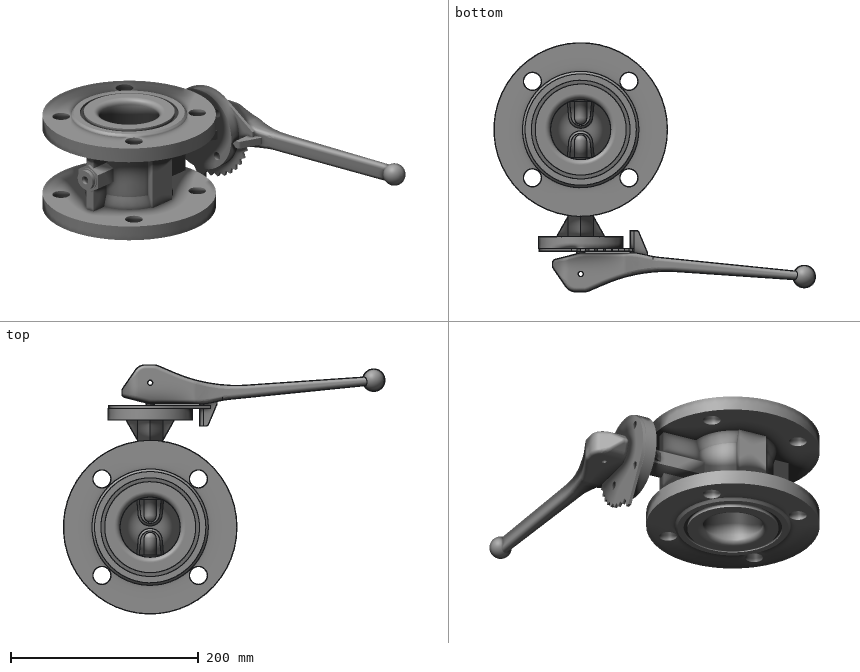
import cadquery as cq
import math


flange_radius = 92.5
flange_inner_z = 37.15
flange_outer_z = 53.0
bolt_hole_diameter = 19.0
bolt_offset = 51.5
face_base_radius = 62.0
face_radius = 59.2
face_z = 55.8
groove_outer_radius = 105.0 / 2
groove_inner_radius = 97.0 / 2
seat_z = 57.0
bore_radius = 64.0 / 2
bore_rounding = 5.8

barrel_radius = 43.0
barrel_flare_radius = 47.0
flare_start_z = 24.0
side_rib_reach = 46.5
side_rib_width = 32.0
shaft_rib_width = 10.3
shaft_rib_top_y = 85.3
shaft_rib_bottom_y = -63.7

hex_across_flats = 27.0
neck_bottom_y = -66.5
plug_shoulder_diameter = 24.0
plug_shoulder_height = 1.0
plug_diameter = 21.0
plug_end_y = -71.5
plug_hole_diameter = 9.0
plug_hole_depth = 8.5

mount_radius = 90.0 / 2
mount_bottom_y = 114.0
mount_top_y = 126.5
mount_hole_diameter = 9.0
mount_hole_offset = 24.5
gusset_thickness = 10.3
gusset_half_width = 25.7
gusset_foot_y = 92.5

plate_top_y = 129.8
plate_radius = 44.0
notch_root_radius = 52.5
notch_tip_radius = 57.0
notch_count = 10
notch_step = 10
arm_reach = 64.0
arm_upper_z = 10.0
arm_lower_z = 4.0

disc_thickness = 4.8
boss_shaft_diameter = 16.0
boss_root_half_width = 14.7
boss_root_y = 33.5
boss_end_half_width = 12.5
boss_shoulder_y = 12.0
boss_end_y = 1.5
boss_foot_height = 2.5
boss_foot_draft = 48
bearing_pad_diameter = 24.0
bearing_pad_y = 29.62

head_half_width = 13.7
head_peak_y = 173.0
head_floor_y = 131.0
nose_start_x = -12.5
nose_bend_radius = 13.7
nose_angle = 45
taper_start_x = 48.0
handle_start_x = 85.3
handle_end_x = 233.0
handle_half_width = 9.4
handle_end_bottom_y = 151.0
handle_end_top_y = 160.2
head_heel_x = 0.0
heel_bend_radius = 34.2
rise_start_x = 58.2
rise_end_x = 79.8
rise_end_y = 135.5
rise_bend_radius = 51.5
saddle_x = 63.0
saddle_y = 148.5
saddle_bend_radius = 167.8
peak_left_x = -12.0
peak_right_x = 6.0
peak_bend_radius = 13.7
nose_x = -34.5
nose_y = 140.0
taper_bend_radius = 13.7
lever_rounding = 4.5
lever_hole_diameter = 5.0
lever_hole_y = 153.7
ball_diameter = 24.0
ball_x = 238.0
ball_y = 156.5
stem_diameter = 9.0
stem_top_y = 143.8

latch_nose_x = 52.7
latch_half_width = 3.95
latch_toe_x = 61.3
latch_heel_x = 71.2
latch_bottom_y = 107.5
latch_top_y = 137.0
latch_toe_rounding = 3.0


def cylinder_along_y(radius, start_y, end_y, x=0.0, z=0.0):
    """Cylinder whose axis is parallel to Y."""
    base = cq.Vector(x, start_y, z)
    return cq.Workplane(cq.Solid.makeCylinder(radius, end_y - start_y, base, cq.Vector(0, 1, 0)))


def xz_plane(y):
    """Workplane facing +Y at height y; its local axes are X and -Z."""
    return cq.Workplane(cq.Plane((0, y, 0), (1, 0, 0), (0, 1, 0)))


def make_barrel():
    """Flanged barrel without its bore, revolved about Z."""
    upper_half = (
        cq.Workplane("XZ")
        .moveTo(0, 0)
        .lineTo(barrel_radius, 0)
        .lineTo(barrel_radius, flare_start_z)
        .lineTo(barrel_flare_radius, flange_inner_z)
        .lineTo(flange_radius, flange_inner_z)
        .lineTo(flange_radius, flange_outer_z)
        .lineTo(face_base_radius, flange_outer_z)
        .lineTo(face_radius, face_z)
        .lineTo(groove_outer_radius, face_z)
        .lineTo(groove_outer_radius, flange_outer_z)
        .lineTo(groove_inner_radius, flange_outer_z)
        .lineTo(groove_inner_radius, seat_z)
        .lineTo(0, seat_z)
        .close()
        .revolve(360, (0, 0, 0), (0, 1, 0))
    )
    return upper_half.union(upper_half.mirror("XY"))


def make_bore():
    """Volume of the flow passage, widened by a rounded mouth at each end."""
    mouth_start_z = seat_z - bore_rounding
    mouth_radius = bore_radius + bore_rounding
    arc_shift = bore_rounding * (1 - math.sqrt(0.5))
    upper_half = (
        cq.Workplane("XZ")
        .moveTo(0, 0)
        .lineTo(bore_radius, 0)
        .lineTo(bore_radius, mouth_start_z)
        .threePointArc((bore_radius + arc_shift, seat_z - arc_shift), (mouth_radius, seat_z))
        .lineTo(0, seat_z)
        .close()
        .revolve(360, (0, 0, 0), (0, 1, 0))
    )
    return upper_half.union(upper_half.mirror("XY"))


def make_ribs():
    """Side ribs along X and the thinner rib along the shaft."""
    rib_height = 2 * flange_inner_z
    side_ribs = cq.Workplane("XY").box(2 * side_rib_reach, side_rib_width, rib_height)
    shaft_rib_length = shaft_rib_top_y - shaft_rib_bottom_y
    shaft_rib_middle_y = (shaft_rib_top_y + shaft_rib_bottom_y) / 2
    shaft_rib = (
        cq.Workplane("XY")
        .box(shaft_rib_width, shaft_rib_length, rib_height)
        .translate((0, shaft_rib_middle_y, 0))
    )
    return side_ribs.union(shaft_rib)


def make_shaft_neck():
    """Hexagonal neck with corners on +-Z, a gusset under the mounting flange and the bottom plug."""
    corner_diameter = hex_across_flats / math.cos(math.radians(30))
    neck = (
        xz_plane(neck_bottom_y)
        .transformed(rotate=(0, 0, 90))
        .polygon(6, corner_diameter)
        .extrude(mount_bottom_y - neck_bottom_y)
    )
    foot_half_width = hex_across_flats / 2
    gusset = (
        cq.Workplane("XY")
        .polyline([
            (-foot_half_width, gusset_foot_y),
            (foot_half_width, gusset_foot_y),
            (gusset_half_width, mount_bottom_y),
            (-gusset_half_width, mount_bottom_y),
        ])
        .close()
        .extrude(gusset_thickness / 2, both=True)
    )
    shoulder = cylinder_along_y(
        plug_shoulder_diameter / 2, neck_bottom_y - plug_shoulder_height, neck_bottom_y
    )
    plug = cylinder_along_y(plug_diameter / 2, plug_end_y, neck_bottom_y)
    plug_hole = cylinder_along_y(
        plug_hole_diameter / 2, plug_end_y, plug_end_y + plug_hole_depth
    )
    return neck.union(gusset).union(shoulder).union(plug).cut(plug_hole)


def polar(radius, degrees):
    """Point (x, z) at an angle measured from +X towards +Z."""
    angle = math.radians(degrees)
    return (radius * math.cos(angle), radius * math.sin(angle))


def make_notch_plate():
    """Round plate with a toothed quarter between two stop arms, symmetric about the -45 degree line."""
    tip_distance = math.hypot(arm_reach, arm_upper_z)
    tangent_angle = math.degrees(
        math.atan2(arm_upper_z, arm_reach) + math.acos(plate_radius / tip_distance)
    )
    outline = [
        polar(plate_radius, tangent_angle),
        (arm_reach, arm_upper_z),
        (arm_reach, arm_lower_z),
        (notch_tip_radius, arm_lower_z),
    ]
    for notch in range(notch_count):
        notch_angle = -notch * notch_step
        outline.append(polar(notch_root_radius, notch_angle))
        if notch < notch_count - 1:
            outline.append(polar(notch_tip_radius, notch_angle - notch_step / 2))
    outline += [
        (-arm_lower_z, -notch_tip_radius),
        (-arm_lower_z, -arm_reach),
        (-arm_upper_z, -arm_reach),
        polar(plate_radius, -90 - tangent_angle),
    ]
    local_outline = [(x, -z) for x, z in outline]
    far_x, far_z = polar(plate_radius, 135)
    return (
        xz_plane(mount_top_y)
        .polyline(local_outline)
        .threePointArc((far_x, -far_z), local_outline[0])
        .close()
        .extrude(plate_top_y - mount_top_y)
    )


def make_mount():
    """Mounting flange with the notch plate on top and four bolt holes through both."""
    mount = cylinder_along_y(mount_radius, mount_bottom_y, mount_top_y).union(make_notch_plate())
    for x in (-mount_hole_offset, mount_hole_offset):
        for z in (-mount_hole_offset, mount_hole_offset):
            mount = mount.cut(
                cylinder_along_y(mount_hole_diameter / 2, mount_bottom_y, plate_top_y, x, z)
            )
    return mount


def make_disc_boss():
    """Round-ended shaft half on a drafted foot, on the +Z face of the disc at its +Y side."""
    foot = (
        cq.Workplane("XY")
        .workplane(offset=disc_thickness / 2)
        .moveTo(boss_root_half_width, boss_root_y)
        .lineTo(boss_end_half_width, boss_shoulder_y)
        .threePointArc((0, boss_end_y), (-boss_end_half_width, boss_shoulder_y))
        .lineTo(-boss_root_half_width, boss_root_y)
        .close()
        .extrude(boss_foot_height, taper=boss_foot_draft)
    )
    shaft_radius = boss_shaft_diameter / 2
    shaft = cylinder_along_y(shaft_radius, boss_shoulder_y, bearing_pad_y)
    shaft_end = cq.Workplane("XY").sphere(shaft_radius).translate((0, boss_shoulder_y, 0))
    return foot.union(shaft).union(shaft_end)


def make_disc():
    """Closed disc with bosses on both faces, and flat bearing pads on the bore wall."""
    disc = cq.Workplane("XY").circle(bore_radius).extrude(disc_thickness / 2, both=True)
    boss = make_disc_boss()
    bosses = boss.union(boss.mirror("XZ"))
    disc = disc.union(bosses).union(bosses.mirror("XY"))
    pad = cylinder_along_y(bearing_pad_diameter / 2, bearing_pad_y, boss_root_y)
    return disc.union(pad).union(pad.mirror("XZ"))


def make_valve():
    """Housing with flanges, necks, mounting flange and closed disc."""
    valve = make_barrel().union(make_ribs()).union(make_shaft_neck())
    valve = valve.cut(make_bore())
    bolt_holes = (
        cq.Workplane("XY")
        .rect(2 * bolt_offset, 2 * bolt_offset, forConstruction=True)
        .vertices()
        .circle(bolt_hole_diameter / 2)
        .extrude(flange_outer_z, both=True)
    )
    return valve.cut(bolt_holes).union(make_mount()).union(make_disc())


def make_lever_profile():
    """Side outline of the lever, extruded across its full width, with its bends rounded."""
    profile = (
        cq.Workplane("XY")
        .polyline([
            (head_heel_x, head_floor_y),
            (rise_start_x, head_floor_y),
            (rise_end_x, rise_end_y),
            (handle_end_x, handle_end_bottom_y),
            (handle_end_x, handle_end_top_y),
            (saddle_x, saddle_y),
            (peak_right_x, head_peak_y),
            (peak_left_x, head_peak_y),
            (nose_x, nose_y),
        ])
        .close()
        .extrude(head_half_width, both=True)
    )
    bends = [
        (head_heel_x, head_floor_y, heel_bend_radius),
        (rise_start_x, head_floor_y, rise_bend_radius),
        (rise_end_x, rise_end_y, rise_bend_radius),
        (saddle_x, saddle_y, saddle_bend_radius),
        (peak_right_x, head_peak_y, peak_bend_radius),
        (peak_left_x, head_peak_y, peak_bend_radius),
    ]
    for x, y, bend_radius in bends:
        corner = cq.selectors.NearestToPointSelector((x, y, 0))
        profile = profile.edges("|Z").edges(corner).fillet(bend_radius)
    return profile


def make_lever_plan():
    """Plan of the lever: pointed nose, wide head, concave taper, slim handle."""
    bend_x = nose_start_x - nose_bend_radius * math.sin(math.radians(nose_angle))
    bend_half_width = head_half_width - nose_bend_radius * (1 - math.cos(math.radians(nose_angle)))
    middle_angle = math.radians(nose_angle / 2)
    middle_x = nose_start_x - nose_bend_radius * math.sin(middle_angle)
    middle_half_width = head_half_width - nose_bend_radius * (1 - math.cos(middle_angle))
    tip_x = bend_x - bend_half_width / math.tan(math.radians(nose_angle))

    taper_length = handle_start_x - taper_start_x
    taper_depth = head_half_width - handle_half_width
    taper_radius = (taper_length**2 + taper_depth**2) / (2 * taper_depth)
    taper_middle_x = handle_start_x - taper_length / 2
    taper_middle = handle_half_width + taper_radius - math.sqrt(
        taper_radius**2 - (taper_length / 2) ** 2
    )
    plan = (
        xz_plane(head_floor_y)
        .moveTo(tip_x, 0)
        .lineTo(bend_x, bend_half_width)
        .threePointArc((middle_x, middle_half_width), (nose_start_x, head_half_width))
        .lineTo(taper_start_x, head_half_width)
        .threePointArc((taper_middle_x, taper_middle), (handle_start_x, handle_half_width))
        .lineTo(handle_end_x, handle_half_width)
        .lineTo(handle_end_x, -handle_half_width)
        .lineTo(handle_start_x, -handle_half_width)
        .threePointArc((taper_middle_x, -taper_middle), (taper_start_x, -head_half_width))
        .lineTo(nose_start_x, -head_half_width)
        .threePointArc((middle_x, -middle_half_width), (bend_x, -bend_half_width))
        .close()
        .extrude(head_peak_y - head_floor_y)
    )
    for z in (-head_half_width, head_half_width):
        corner = cq.selectors.NearestToPointSelector((taper_start_x, lever_hole_y, z))
        plan = plan.edges("|Y").edges(corner).fillet(taper_bend_radius)
    return plan


def make_latch():
    """Latch with a wedge nose towards the notches and a sloping back."""
    side = (
        cq.Workplane("XY")
        .polyline([
            (latch_nose_x, latch_bottom_y),
            (latch_toe_x, latch_bottom_y),
            (latch_heel_x, head_floor_y),
            (latch_heel_x, latch_top_y),
            (latch_nose_x, latch_top_y),
        ])
        .close()
        .extrude(latch_half_width, both=True)
        .edges("|Z").edges("<Y").edges(">X")
        .fillet(latch_toe_rounding)
    )
    wedge_end_x = latch_nose_x + latch_half_width
    plan = (
        xz_plane(latch_bottom_y)
        .polyline([
            (latch_nose_x, 0),
            (wedge_end_x, latch_half_width),
            (latch_heel_x, latch_half_width),
            (latch_heel_x, -latch_half_width),
            (wedge_end_x, -latch_half_width),
        ])
        .close()
        .extrude(latch_top_y - latch_bottom_y)
    )
    return side.intersect(plan)


def make_lever():
    """Lever with rounded edges, ball knob, cross hole, stem stub and latch."""
    lever = make_lever_profile().intersect(make_lever_plan())
    lever = lever.edges("not(>X)").fillet(lever_rounding)
    ball = cq.Workplane("XY").sphere(ball_diameter / 2).translate((ball_x, ball_y, 0))
    stem = cylinder_along_y(stem_diameter / 2, plate_top_y, stem_top_y)
    cross_hole = (
        cq.Workplane("XY")
        .center(0, lever_hole_y)
        .circle(lever_hole_diameter / 2)
        .extrude(head_half_width, both=True)
    )
    return lever.union(ball).union(stem).union(make_latch()).cut(cross_hole)


valve = make_valve()
lever = make_lever()
result = cq.Compound.makeCompound([valve.val(), lever.val()])